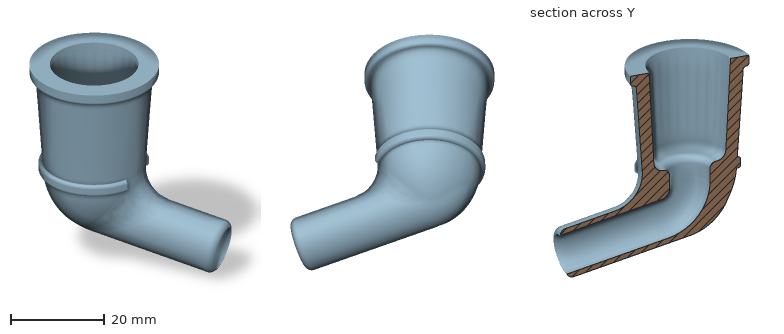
import cadquery as cq
import math


FLANGE_RADIUS = 13.97
FLANGE_THICKNESS = 2.54
FLANGE_ROUND = 0.7
FLANGE_FILLET = 0.62

DRAFT = math.radians(4)
RIM_BARREL_RADIUS = 12.84
BARREL_LENGTH = 26.0
BULB_ARC_RADIUS = 16.0
BULB_FLAT_RADIUS = 1.5

SPOUT_TILT = 10
SPOUT_RADIUS = 5.97
SPOUT_AXIS_Z = -33.96
SPOUT_LENGTH = 30.17
SPOUT_END_ROUND = 1.52
ELBOW_OUTER_RADIUS = 12.0
ELBOW_SWEEP = 90 - SPOUT_TILT
SPOUT_BLEND = 7.62

RING_RADIUS = 12.01
RING_TOP = -23.45
RING_HEIGHT = 2.67
RING_ROUND = 0.74
RING_END_ANGLE = math.radians(32)

BORE_RADIUS = 9.525
BORE_DRAFT = math.radians(3)
BOWL_RADIUS = 8.4
DRAIN_RADIUS = 4.7
DRAIN_LIP_ROUND = 1.54
DRAIN_BEND_RADIUS = 7.0


def barrel_radius(z):
    """Outer radius of the tapered barrel at height z."""
    return RIM_BARREL_RADIUS + z * math.tan(DRAFT)


def make_cup():
    """Flange, tapered barrel and bulb as one revolved solid."""
    foot_z = -BARREL_LENGTH
    foot_radius = barrel_radius(foot_z)
    arc_x = foot_radius - BULB_ARC_RADIUS * math.cos(DRAFT)
    arc_z = foot_z + BULB_ARC_RADIUS * math.sin(DRAFT)
    end_angle = math.acos((BULB_FLAT_RADIUS - arc_x) / BULB_ARC_RADIUS)
    middle_angle = (DRAFT + end_angle) / 2

    def on_bulb(angle):
        x = arc_x + BULB_ARC_RADIUS * math.cos(angle)
        z = arc_z - BULB_ARC_RADIUS * math.sin(angle)
        return x, z

    bulb_end = on_bulb(end_angle)
    fillet_z = -FLANGE_THICKNESS - FLANGE_FILLET
    fillet_x = barrel_radius(fillet_z) + FLANGE_FILLET / math.cos(DRAFT)
    fillet_end = (
        fillet_x - FLANGE_FILLET * math.cos(DRAFT),
        fillet_z + FLANGE_FILLET * math.sin(DRAFT),
    )
    return (
        cq.Workplane("XZ")
        .lineTo(FLANGE_RADIUS, 0)
        .lineTo(FLANGE_RADIUS, FLANGE_ROUND - FLANGE_THICKNESS)
        .tangentArcPoint((FLANGE_RADIUS - FLANGE_ROUND, -FLANGE_THICKNESS), relative=False)
        .lineTo(fillet_x, -FLANGE_THICKNESS)
        .tangentArcPoint(fillet_end, relative=False)
        .lineTo(foot_radius, foot_z)
        .threePointArc(on_bulb(middle_angle), bulb_end)
        .lineTo(0, bulb_end[1])
        .close()
        .revolve(360, (0, 0, 0), (0, 1, 0))
    )


def tilt(body):
    """Tilt a body modelled along +X about the spout's start on the cup axis."""
    return body.rotate((0, 0, 0), (0, 1, 0), SPOUT_TILT).translate((0, 0, SPOUT_AXIS_Z))


def make_spout():
    """Round-ended spout with a torus elbow curling up from its inner end."""
    offset = SPOUT_RADIUS * math.tan(math.radians(SPOUT_TILT))
    inner_end = cq.Workplane("YZ").workplane(offset=offset).circle(SPOUT_RADIUS)
    spout = inner_end.extrude(SPOUT_LENGTH - offset)
    spout = spout.faces(">X").edges().fillet(SPOUT_END_ROUND)
    bend = ELBOW_OUTER_RADIUS - SPOUT_RADIUS
    elbow = (
        cq.Workplane("YZ").workplane(offset=offset)
        .circle(SPOUT_RADIUS)
        .revolve(ELBOW_SWEEP, (-1, bend, 0), (1, bend, 0))
    )
    return tilt(spout.union(elbow))


def blend_spout(cup, spout):
    """Join cup and spout, rounding the curved seam where they meet."""
    body = cup.union(spout)
    seam = [edge for edge in body.edges().vals() if edge.geomType() == "BSPLINE"]
    return body.newObject(seam).fillet(SPOUT_BLEND)


def make_ring():
    """Round-edged ring, open over the spout, with flat radial ends either side of the blend."""
    ring = cq.Workplane("XY").workplane(offset=RING_TOP).circle(RING_RADIUS).extrude(-RING_HEIGHT)
    ring = ring.edges().fillet(RING_ROUND)
    gap_reach = 2 * RING_RADIUS
    gap_side = gap_reach * math.tan(RING_END_ANGLE)
    gap = (
        cq.Workplane("XY").workplane(offset=RING_TOP)
        .polyline([(0, 0), (gap_reach, -gap_side), (gap_reach, gap_side)])
        .close()
        .extrude(-RING_HEIGHT)
    )
    return ring.cut(gap)


def make_bore():
    """Drafted bore with a bowl-shaped floor rolling over into the drain, plus the bent drain."""
    lip_radius = DRAIN_RADIUS + DRAIN_LIP_ROUND
    bowl_z = -(BORE_RADIUS - BOWL_RADIUS) / math.tan(BORE_DRAFT)
    floor_fillet = (BOWL_RADIUS - lip_radius) / math.cos(BORE_DRAFT)
    floor_z = bowl_z + floor_fillet * (math.sin(BORE_DRAFT) - 1)
    drain_top = floor_z - DRAIN_LIP_ROUND
    bowl = (
        cq.Workplane("XZ")
        .lineTo(BORE_RADIUS, 0)
        .lineTo(BOWL_RADIUS, bowl_z)
        .tangentArcPoint((lip_radius, floor_z), relative=False)
        .tangentArcPoint((DRAIN_RADIUS, drain_top), relative=False)
        .lineTo(0, drain_top)
        .close()
        .revolve(360, (0, 0, 0), (0, 1, 0))
    )
    tilt_angle = math.radians(SPOUT_TILT)
    turn = math.pi / 2 - tilt_angle
    bend_start = SPOUT_AXIS_Z + DRAIN_BEND_RADIUS * math.tan(turn / 2)
    bend_end = (
        DRAIN_BEND_RADIUS * (1 - math.cos(turn)),
        bend_start - DRAIN_BEND_RADIUS * math.sin(turn),
    )
    spout_mouth = (
        SPOUT_LENGTH * math.cos(tilt_angle),
        SPOUT_AXIS_Z - SPOUT_LENGTH * math.sin(tilt_angle),
    )
    drain_path = (
        cq.Workplane("XZ")
        .moveTo(0, drain_top)
        .lineTo(0, bend_start)
        .tangentArcPoint(bend_end, relative=False)
        .lineTo(*spout_mouth)
    )
    drain = cq.Workplane("XY").workplane(offset=drain_top).circle(DRAIN_RADIUS).sweep(drain_path)
    return bowl.union(drain)


elbow_body = blend_spout(make_cup(), make_spout())
result = elbow_body.union(make_ring()).cut(make_bore())